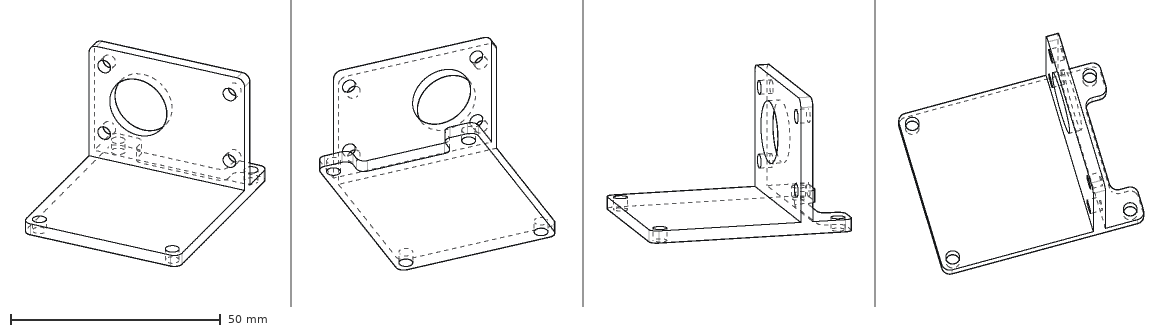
import cadquery as cq

width = 41.0
depth = 50.0
height = 33.0
thickness = 3.0
corner_radius = 2.0

wall_setback = 10.0
notch_margin = 8.5
notch_depth = 6.0

screw_diameter = 3.3
base_hole_inset = 3.0
wall_hole_side_inset = 4.0
wall_hole_top_inset = 5.0
wall_hole_spacing = 18.0
bore_diameter = 15.0
bore_side_inset = 13.0

wall_back = depth - wall_setback
wall_hole_top = height - wall_hole_top_inset
wall_hole_bottom = wall_hole_top - wall_hole_spacing
bore_height = (wall_hole_top + wall_hole_bottom) / 2


def make_base():
    """Flat plate with a rounded notch in its rear edge and four corner holes."""
    notch_floor = depth - notch_depth
    outline = [
        (0, 0),
        (width, 0),
        (width, depth),
        (width - notch_margin, depth),
        (width - notch_margin, notch_floor),
        (notch_margin, notch_floor),
        (notch_margin, depth),
        (0, depth),
    ]
    plate = cq.Workplane("XY").polyline(outline).close().extrude(thickness)
    plate = plate.edges("|Z").fillet(corner_radius)
    hole_centers = [
        (x, y)
        for x in (base_hole_inset, width - base_hole_inset)
        for y in (base_hole_inset, depth - base_hole_inset)
    ]
    holes = cq.Workplane("XY").pushPoints(hole_centers).circle(screw_diameter / 2).extrude(thickness)
    return plate.cut(holes)


def make_wall():
    """Upright plate with rounded top corners, an off-center bore and four screw holes."""
    back_plane = cq.Workplane("XZ", origin=(0, wall_back, 0))
    plate = back_plane.rect(width, height, centered=False).extrude(thickness)
    plate = plate.edges("|Y and >Z").fillet(corner_radius)
    hole_centers = [
        (x, z)
        for x in (wall_hole_side_inset, width - wall_hole_side_inset)
        for z in (wall_hole_bottom, wall_hole_top)
    ]
    holes = back_plane.pushPoints(hole_centers).circle(screw_diameter / 2).extrude(thickness)
    bore = back_plane.center(bore_side_inset, bore_height).circle(bore_diameter / 2).extrude(thickness)
    return plate.cut(holes).cut(bore)


result = make_base().union(make_wall())